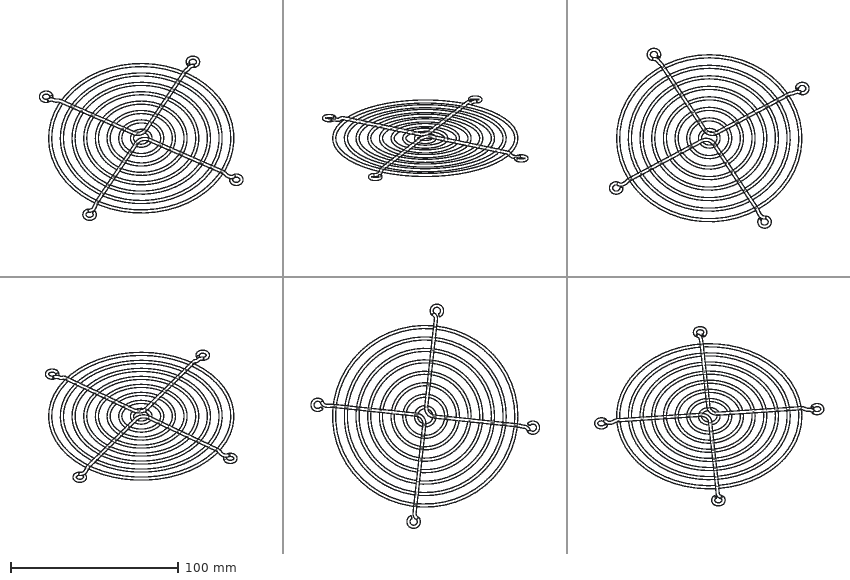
import cadquery as cq
import math

outer_diameter = 111.0
wire_diameter = 2.0
overall_height = 3.9
ring_count = 8
ring_pitch = 7.0
apex_offset = 2.2
bend_radius = 3.1
spoke_end = 39.0
neck_turn = 73.0
loop_turn = 285.0

wire_radius = wire_diameter / 2
outer_ring_radius = outer_diameter / 2 - wire_radius
spoke_height = overall_height - wire_diameter

diagonal = math.sqrt(0.5)
apex_radius = apex_offset / (1 / diagonal - 1)
apex_center_x = apex_offset + apex_radius

half_drop = spoke_height / 2
descent_angle = math.acos(1 - half_drop / bend_radius)
half_run = bend_radius * math.sin(descent_angle)
neck_start = spoke_end + 2 * half_run * diagonal


def polar_point(center_x, center_y, radius, degrees, z=0.0):
    """Point on a horizontal circle."""
    angle = math.radians(degrees)
    return cq.Vector(center_x + radius * math.cos(angle), center_y + radius * math.sin(angle), z)


def diagonal_point(run, z):
    """Point in the diagonal plane, a given distance beyond the spoke end."""
    position = spoke_end + run * diagonal
    return cq.Vector(position, position, z)


def horizontal_arc(center_x, center_y, radius, start, turn, z=0.0):
    """Horizontal arc from a start angle through a signed turn, in degrees."""
    angles = (start, start + turn / 2, start + turn)
    points = [polar_point(center_x, center_y, radius, angle, z) for angle in angles]
    return cq.Edge.makeThreePointArc(*points)


def round_wire(edges):
    """Sweep the round wire section along joined, tangent edges."""
    path = cq.Wire.assembleEdges(edges)
    section = cq.Workplane(cq.Plane(origin=edges[0].startPoint(), normal=edges[0].tangentAt(0)))
    return section.circle(wire_radius).sweep(cq.Workplane(path))


def descent_edges():
    """Two arcs that lower the spoke to the level of the rings."""
    mid_run = bend_radius * math.sin(descent_angle / 2)
    mid_drop = bend_radius * (1 - math.cos(descent_angle / 2))
    middle = diagonal_point(half_run, half_drop)
    upper = cq.Edge.makeThreePointArc(
        diagonal_point(0, spoke_height),
        diagonal_point(mid_run, spoke_height - mid_drop),
        middle,
    )
    lower = cq.Edge.makeThreePointArc(
        middle,
        diagonal_point(2 * half_run - mid_run, mid_drop),
        diagonal_point(2 * half_run, 0),
    )
    return [upper, lower]


def make_arm():
    """One quarter of the spokes: half an apex, a spoke, and its hook."""
    apex = horizontal_arc(apex_center_x, 0, apex_radius, 180, -45, spoke_height)
    spoke = cq.Edge.makeLine(apex.endPoint(), diagonal_point(0, spoke_height))

    neck_center_x = neck_start - bend_radius * diagonal
    neck_center_y = neck_start + bend_radius * diagonal
    neck = horizontal_arc(neck_center_x, neck_center_y, bend_radius, -45, neck_turn)

    loop_start = neck.endPoint()
    loop = horizontal_arc(loop_start.x + bend_radius, loop_start.y, bend_radius, 180, -loop_turn)

    arm = round_wire([apex, spoke] + descent_edges() + [neck])
    return arm.union(round_wire([loop]))


rings = [
    cq.Solid.makeTorus(outer_ring_radius - index * ring_pitch, wire_radius)
    for index in range(ring_count)
]

arm = make_arm()
right_spokes = arm.union(arm.mirror("XZ"))
spokes = right_spokes.union(right_spokes.mirror("YZ"))

result = cq.Workplane(spokes.val().fuse(*rings)).solids()